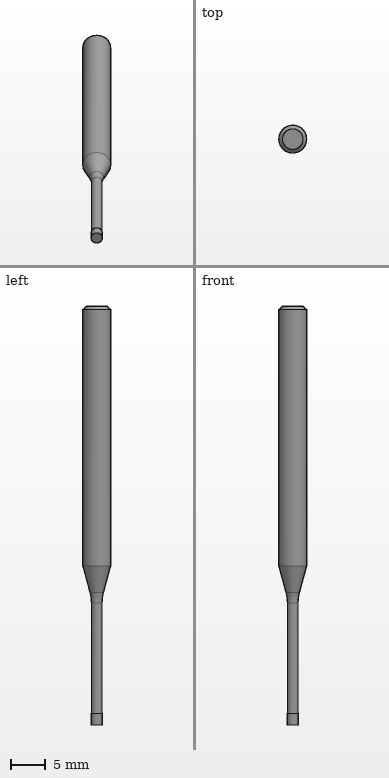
import cadquery as cq
import math

total_length = 60.0
shank_radius = 4.0 / 2
shank_bottom = 22.8
end_chamfer_height = 0.5
end_chamfer_width = 0.55

neck_radius = 1.55 / 2
neck_top = 17.5
taper_bottom = 18.95
taper_angle = math.radians(15)

tip_radius = 1.6 / 2
tip_shoulder_bottom = 1.6
tip_length = 1.7

blend_radius = (taper_bottom - neck_top) / math.sin(taper_angle)


def blend_point(angle):
    """Point on the blend arc where the surface leans by the given angle."""
    radius = neck_radius + blend_radius * (1 - math.cos(angle))
    return radius, neck_top + blend_radius * math.sin(angle)


def make_holder():
    """Shank, taper, blend and neck, turned as one body."""
    profile = (
        cq.Workplane("XZ")
        .moveTo(0, tip_length)
        .lineTo(neck_radius, tip_length)
        .lineTo(neck_radius, neck_top)
        .threePointArc(blend_point(taper_angle / 2), blend_point(taper_angle))
        .lineTo(shank_radius, shank_bottom)
        .lineTo(shank_radius, total_length - end_chamfer_height)
        .lineTo(shank_radius - end_chamfer_width, total_length)
        .lineTo(0, total_length)
        .close()
    )
    return profile.revolve(360, (0, 0, 0), (0, 1, 0))


def make_tip():
    """Cylindrical tip with a low conical shoulder that meets the neck."""
    profile = (
        cq.Workplane("XZ")
        .lineTo(tip_radius, 0)
        .lineTo(tip_radius, tip_shoulder_bottom)
        .lineTo(neck_radius, tip_length)
        .lineTo(0, tip_length)
        .close()
    )
    return profile.revolve(360, (0, 0, 0), (0, 1, 0))


holder = make_holder()
tip = make_tip()
result = cq.Compound.makeCompound([holder.val(), tip.val()])